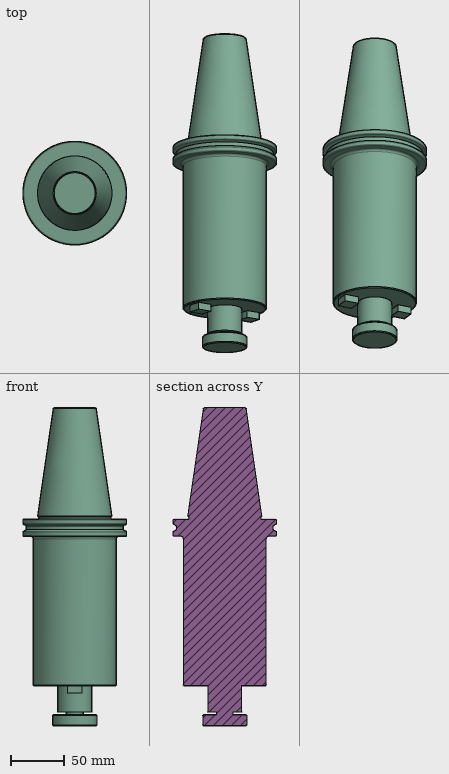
import cadquery as cq
import math

total_length = 298.8
edge_chamfer = 1.0

taper_ratio = 7 / 24
taper_length = 102.0
gauge_radius = 35.0
gauge_z = total_length - taper_length
taper_tip_radius = gauge_radius - taper_ratio * taper_length / 2
relief_depth = 1.0
relief_radius = gauge_radius - relief_depth

flange_radius = 48.7
rim_fillet = 1.0
flange_top_z = gauge_z - 3.0
flange_bottom_z = gauge_z - 19.0
groove_z = gauge_z - 11.0
groove_floor_radius = 45.7
groove_floor_width = 3.5
groove_flank_angle = math.radians(30)

body_radius = 39.0
body_bottom_z = 37.3
body_fillet = 2.5

pilot_diameter = 32.0
pilot_radius = pilot_diameter / 2
pilot_bottom_z = 12.8
screw_neck_radius = 8.0
screw_head_radius = 21.0
screw_head_height = 10.5

key_width = 14.0
key_height = 6.5
key_outer_y = gauge_radius


def disc(radius, bottom_z, top_z):
    """Cylinder about the Z axis between two heights."""
    return cq.Workplane("XY").workplane(offset=bottom_z).circle(radius).extrude(top_z - bottom_z)


def make_taper():
    """Conical shank tapering off at 45 degrees into a slightly narrower relief neck."""
    profile = [
        (0, flange_top_z),
        (relief_radius, flange_top_z),
        (relief_radius, gauge_z - relief_depth),
        (gauge_radius, gauge_z),
        (taper_tip_radius, total_length),
        (0, total_length),
    ]
    cone = cq.Workplane("XZ").polyline(profile).close().revolve(360, (0, 0), (0, 1))
    return cone.faces(">Z").chamfer(edge_chamfer)


def make_flange():
    """Flange with its V groove, all four rim edges rounded."""
    groove_depth = flange_radius - groove_floor_radius
    floor_half = groove_floor_width / 2
    mouth_half = floor_half + groove_depth * math.tan(groove_flank_angle)
    profile = [
        (0, flange_bottom_z),
        (flange_radius, flange_bottom_z),
        (flange_radius, groove_z - mouth_half),
        (groove_floor_radius, groove_z - floor_half),
        (groove_floor_radius, groove_z + floor_half),
        (flange_radius, groove_z + mouth_half),
        (flange_radius, flange_top_z),
        (0, flange_top_z),
    ]
    ring = cq.Workplane("XZ").polyline(profile).close().revolve(360, (0, 0), (0, 1))
    rim_edges = cq.selectors.RadiusNthSelector(-1)
    return ring.edges(rim_edges).fillet(rim_fillet)


def make_body():
    """Cylindrical body, chamfered below and flared into the flange above."""
    flare_z = flange_bottom_z - body_fillet
    flare_radius = body_radius + body_fillet
    fillet_mid_offset = body_fillet * math.sin(math.pi / 4)
    return (
        cq.Workplane("XZ")
        .moveTo(0, body_bottom_z)
        .lineTo(body_radius - edge_chamfer, body_bottom_z)
        .lineTo(body_radius, body_bottom_z + edge_chamfer)
        .lineTo(body_radius, flare_z)
        .threePointArc(
            (flare_radius - fillet_mid_offset, flare_z + fillet_mid_offset),
            (flare_radius, flange_bottom_z),
        )
        .lineTo(0, flange_bottom_z)
        .close()
        .revolve(360, (0, 0), (0, 1))
    )


def make_screw():
    """Clamping screw: chamfered head and the exposed part of its neck."""
    head = disc(screw_head_radius, 0, screw_head_height).edges().chamfer(edge_chamfer)
    return head.union(disc(screw_neck_radius, screw_head_height, pilot_bottom_z))


def make_key(side):
    """Square drive key below the body, on the +Y (1) or -Y (-1) side."""
    center_y = side * (key_outer_y - key_width / 2)
    return (
        cq.Workplane("XY")
        .workplane(offset=body_bottom_z)
        .center(0, center_y)
        .rect(key_width, key_width)
        .extrude(-key_height)
    )


result = make_taper().union(make_flange()).union(make_body())
result = result.union(disc(pilot_radius, pilot_bottom_z, body_bottom_z)).union(make_screw())
for side in (1, -1):
    result = result.union(make_key(side))